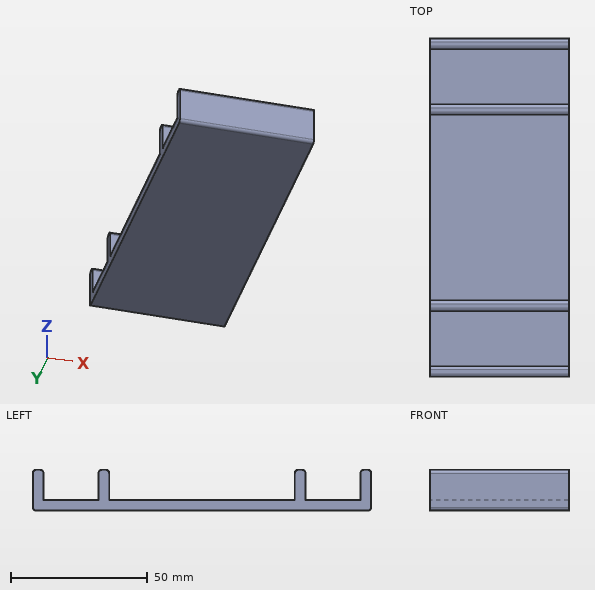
import cadquery as cq

width = 51.0
length = 124.0
height = 15.0

base_thickness = 4.0
wall_thickness = 4.0
inner_wall_offset = 36.0
edge_radius = 1.2

outer_wall_offset = (length - wall_thickness) / 2


def block(size_y, size_z, center_y=0):
    """Full-width block standing on the bottom plane."""
    return (
        cq.Workplane("XY")
        .center(0, center_y)
        .box(width, size_y, size_z, centered=(True, True, False))
    )


def wall(center_y):
    """Upright wall with rounded top edges."""
    return block(wall_thickness, height, center_y).faces(">Z").edges("|X").fillet(edge_radius)


result = block(length, base_thickness).faces("<Z").edges("|X").fillet(edge_radius)

wall_envelope = block(length, height).faces("<Z").edges("|X").fillet(edge_radius)

for offset in (inner_wall_offset, outer_wall_offset):
    for side in (-1, 1):
        result = result.union(wall(side * offset).intersect(wall_envelope))

result = result.clean()